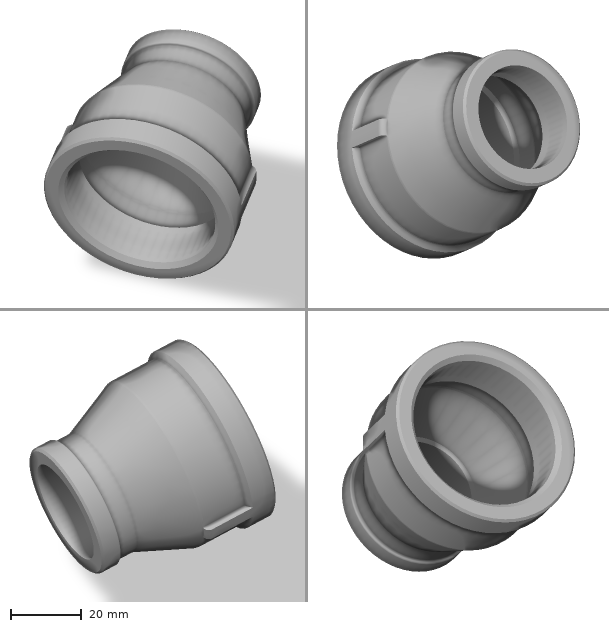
import cadquery as cq
import math

length = 53.0
outer_radius = 28.25
end_chamfer = 0.7

collar_length = 8.0
shoulder_length = 1.6
body_radius = 26.55
body_end = 23.5
shoulder_end = collar_length + shoulder_length

neck_radius = 38.0 / 2
neck_start = 40.9
narrow_collar_radius = 40.0 / 2
narrow_collar_start = 47.35
step_round = (narrow_collar_radius - neck_radius) / 2
step_middle = narrow_collar_start - step_round
step_start = narrow_collar_start - 2 * step_round

mouth_radius = 47.6 / 2
wide_bore_radius = 44.85 / 2
mouth_chamfer = mouth_radius - wide_bore_radius
relief_radius = 48.7 / 2
relief_start = 15.25
narrow_bore_radius = 30.3 / 2

wall = 2.3
cone_angle = math.atan2(body_radius - neck_radius, neck_start - body_end)
cone_shift = wall * math.tan(cone_angle / 2)
passage_start = body_end - cone_shift
passage_end = neck_start - cone_shift
passage_end_radius = neck_radius - wall

rib_half_width = 2.5
rib_root_radius = 24.85
rib_round_radius = 2.0
rib_round_start = body_end - rib_round_radius

root_fillet = 0.5
cone_base_fillet = 1.5
neck_fillet = 0.5
passage_fillet = 2.0

pick_margin = 0.03


def revolve_about_axis(outline):
    return outline.close().revolve(360, (0, 0, 0), (0, 1, 0))


def box_selector(size_x, start_y, end_y, size_z):
    """Selects the edges lying fully inside a box centred on the axis."""
    low = (-size_x - pick_margin, start_y - pick_margin, -size_z - pick_margin)
    high = (size_x + pick_margin, end_y + pick_margin, size_z + pick_margin)
    return cq.selectors.BoxSelector(low, high, boundingbox=True)


def circle_edges(y, radius):
    """Selects the circular edges around the axis at one Y position."""
    return box_selector(radius, y, y, radius)


def make_body():
    outline = (
        cq.Workplane("XY")
        .lineTo(outer_radius - end_chamfer, 0)
        .lineTo(outer_radius, end_chamfer)
        .lineTo(outer_radius, collar_length)
        .lineTo(body_radius, shoulder_end)
        .lineTo(body_radius, body_end)
        .lineTo(neck_radius, neck_start)
        .lineTo(neck_radius, step_start)
        .radiusArc((neck_radius + step_round, step_middle), step_round)
        .radiusArc((narrow_collar_radius, narrow_collar_start), -step_round)
        .lineTo(narrow_collar_radius, length - end_chamfer)
        .lineTo(narrow_collar_radius - end_chamfer, length)
        .lineTo(0, length)
    )
    body = revolve_about_axis(outline)
    body = body.edges(circle_edges(body_end, body_radius)).fillet(cone_base_fillet)
    return body.edges(circle_edges(neck_start, neck_radius)).fillet(neck_fillet)


def make_ribs():
    ring_outline = (
        cq.Workplane("XY")
        .moveTo(rib_root_radius, collar_length)
        .lineTo(outer_radius, collar_length)
        .lineTo(outer_radius, rib_round_start)
        .radiusArc((outer_radius - rib_round_radius, body_end), -rib_round_radius)
        .lineTo(rib_root_radius, body_end)
    )
    ring = revolve_about_axis(ring_outline)
    bar = cq.Workplane("XY").box(2 * outer_radius, 2 * body_end, 2 * rib_half_width)
    return ring.intersect(bar)


def make_bore():
    outline = cq.Workplane("XY").polyline([
        (0, 0),
        (mouth_radius, 0),
        (wide_bore_radius, mouth_chamfer),
        (wide_bore_radius, relief_start),
        (relief_radius, relief_start),
        (relief_radius, passage_start),
        (passage_end_radius, passage_end),
        (narrow_bore_radius, passage_end),
        (narrow_bore_radius, length),
        (0, length),
    ])
    bore = revolve_about_axis(outline)
    return bore.edges(circle_edges(passage_start, relief_radius)).fillet(passage_fillet)


def fillet_roots(socket):
    """Round the rib flanks and the collar shoulder where they meet the body."""
    flank_roots = socket.edges(box_selector(body_radius, shoulder_end, body_end, rib_half_width)).edges("|Y")
    shoulder_roots = socket.edges(circle_edges(shoulder_end, body_radius))
    return flank_roots.add(shoulder_roots).fillet(root_fillet)


result = fillet_roots(make_body().union(make_ribs())).cut(make_bore())